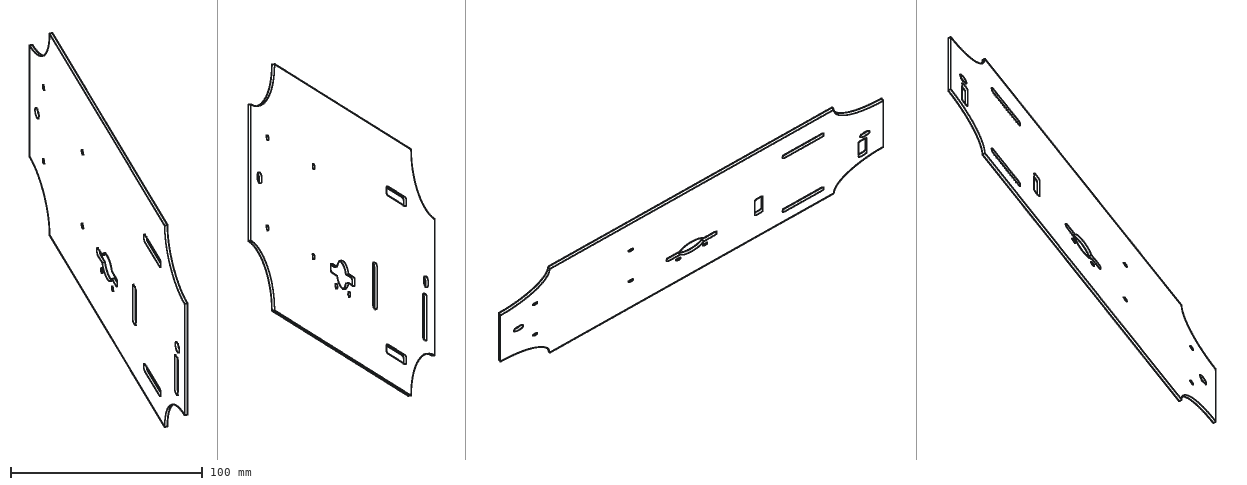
import cadquery as cq

LENGTH = 232.5
HEIGHT = 134.0
THICKNESS = 1.6
CORNER_RADIUS = 30.0

MOUNT_HOLE_DIAMETER = 5.8
MOUNT_HOLE_X = 105.0
SCREW_HOLE_DIAMETER = 2.8
BOARD_CENTER_X = -66.0
BOARD_HOLE_SPACING_X = 58.0
BOARD_HOLE_SPACING_Z = 49.0

OPENING_Z = -BOARD_HOLE_SPACING_Z / 2
OPENING_DIAMETER = 15.0
OPENING_SLOT_LENGTH = 30.5
OPENING_SCREW_SPACING = 16.3
OPENING_SCREW_DROP = 8.4

SLOT_WIDTH = 4.9
SLOT_LENGTH = 25.0
SLOT_CORNER_RADIUS = 1.6
HORIZONTAL_SLOT_X = 67.6
HORIZONTAL_SLOT_SPACING = 86.0
HORIZONTAL_SLOTS_CENTER_Z = -6.5
VERTICAL_SLOTS_X = (40.7, 103.7)
VERTICAL_SLOT_Z = -19.5


def extrude_through(sketch):
    """Extrude an XZ sketch symmetrically through the plate thickness."""
    return sketch.extrude(THICKNESS / 2, both=True)


def round_cut(points, diameter):
    return extrude_through(cq.Workplane("XZ").pushPoints(points).circle(diameter / 2))


def slot_cut(points, size_x, size_z):
    slot = extrude_through(cq.Workplane("XZ").pushPoints(points).rect(size_x, size_z))
    return slot.edges("|Y").fillet(SLOT_CORNER_RADIUS)


def rectangle_corners(width, height, center_x=0.0):
    return [
        (center_x + side_x * width / 2, side_z * height / 2)
        for side_x in (-1, 1)
        for side_z in (-1, 1)
    ]


plate = extrude_through(cq.Workplane("XZ").rect(LENGTH, HEIGHT))
plate = plate.cut(round_cut(rectangle_corners(LENGTH, HEIGHT), 2 * CORNER_RADIUS))

plate = plate.cut(round_cut([(-MOUNT_HOLE_X, 0), (MOUNT_HOLE_X, 0)], MOUNT_HOLE_DIAMETER))
board_holes = rectangle_corners(BOARD_HOLE_SPACING_X, BOARD_HOLE_SPACING_Z, BOARD_CENTER_X)
plate = plate.cut(round_cut(board_holes, SCREW_HOLE_DIAMETER))

plate = plate.cut(round_cut([(0, OPENING_Z)], OPENING_DIAMETER))
plate = plate.cut(slot_cut([(0, OPENING_Z)], OPENING_SLOT_LENGTH, SLOT_WIDTH))
opening_screws = [
    (side * OPENING_SCREW_SPACING / 2, OPENING_Z - OPENING_SCREW_DROP) for side in (-1, 1)
]
plate = plate.cut(round_cut(opening_screws, SCREW_HOLE_DIAMETER))

horizontal_slots = [
    (HORIZONTAL_SLOT_X, HORIZONTAL_SLOTS_CENTER_Z + side * HORIZONTAL_SLOT_SPACING / 2)
    for side in (-1, 1)
]
vertical_slots = [(x, VERTICAL_SLOT_Z) for x in VERTICAL_SLOTS_X]
plate = plate.cut(slot_cut(horizontal_slots, SLOT_LENGTH, SLOT_WIDTH))
plate = plate.cut(slot_cut(vertical_slots, SLOT_WIDTH, SLOT_LENGTH))

result = plate